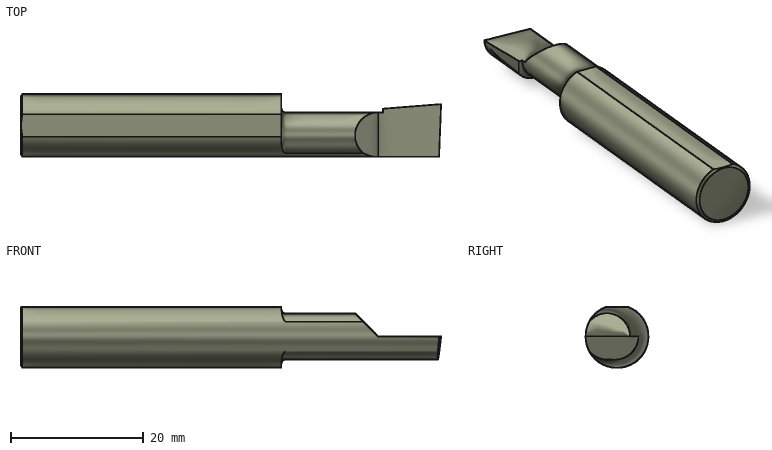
import cadquery as cq
import math

total_length = 63.5
shank_radius = 4.75
shank_length = 39.4
chamfer_length = 0.25
chamfer_depth = 0.45
flat_height = 4.45

neck_radius = 3.5
neck_offset = -1.5
shoulder_fillet = 0.65

cutting_height = 0.0
slope_foot_x = 54.0
slope_angle = 45.0
head_start_x = 54.7
head_start_y = 2.55
tip_y = 3.25
end_relief = 2.2
end_clearance = 6.0


def rod(radius, start, end, y=0.0):
    """Cylinder parallel to X between two X positions."""
    return cq.Workplane("YZ", origin=(start, y, 0)).circle(radius).extrude(end - start)


def make_shank():
    shank = rod(shank_radius, 0, shank_length).faces("<X").chamfer(chamfer_length, chamfer_depth)
    above_flat = cq.Workplane("XY").box(
        shank_length, 2 * shank_radius, shank_radius, centered=(False, True, False)
    )
    return shank.cut(above_flat.translate((0, 0, flat_height)))


def make_neck():
    """Round neck with a concave fillet where it meets the shank shoulder."""
    fillet_inset = shoulder_fillet * (1 - math.sqrt(0.5))
    profile = (
        cq.Workplane("XY", origin=(0, neck_offset, 0))
        .moveTo(shank_length, 0)
        .lineTo(shank_length, neck_radius + shoulder_fillet)
        .threePointArc(
            (shank_length + fillet_inset, neck_radius + fillet_inset),
            (shank_length + shoulder_fillet, neck_radius),
        )
        .lineTo(total_length, neck_radius)
        .lineTo(total_length, 0)
        .close()
    )
    neck = profile.revolve(360, (0, 0, 0), (1, 0, 0))
    return neck.intersect(rod(shank_radius, shank_length, total_length))


def make_head():
    """Tapered side of the head, with the neck's rounding carried out to the tip."""
    outer_axis_y = tip_y - neck_radius
    bridge = cq.Workplane("XY").box(
        total_length - head_start_x,
        outer_axis_y - neck_offset,
        2 * neck_radius,
        centered=(False, False, True),
    ).translate((head_start_x, neck_offset, 0))
    rounded = rod(neck_radius, head_start_x, total_length, outer_axis_y).union(bridge)
    outline = (
        cq.Workplane("XY", origin=(0, 0, -neck_radius))
        .polyline([
            (head_start_x, neck_offset),
            (total_length, neck_offset),
            (total_length, tip_y),
            (head_start_x, head_start_y),
        ])
        .close()
        .extrude(2 * neck_radius)
    )
    return rounded.intersect(outline)


def cut_top(body):
    """Remove the upper half of the head and the sloping run-out behind it."""
    slope_run = (shank_radius - cutting_height) / math.tan(math.radians(slope_angle))
    waste = (
        cq.Workplane("XZ")
        .polyline([
            (slope_foot_x, cutting_height),
            (total_length, cutting_height),
            (total_length, shank_radius),
            (slope_foot_x - slope_run, shank_radius),
        ])
        .close()
        .extrude(shank_radius, both=True)
    )
    return body.cut(waste)


def cut_end(body):
    """Trim the end face so that only the tip reaches the full length."""
    block_size = 4 * shank_radius
    waste = (
        cq.Workplane("XY")
        .box(block_size, block_size, block_size, centered=(False, True, True))
        .rotate((0, 0, 0), (0, 1, 0), end_clearance)
        .rotate((0, 0, 0), (0, 0, 1), -end_relief)
        .translate((total_length, tip_y, cutting_height))
    )
    return body.cut(waste)


body = make_shank().union(make_neck()).union(make_head())
result = cut_end(cut_top(body))